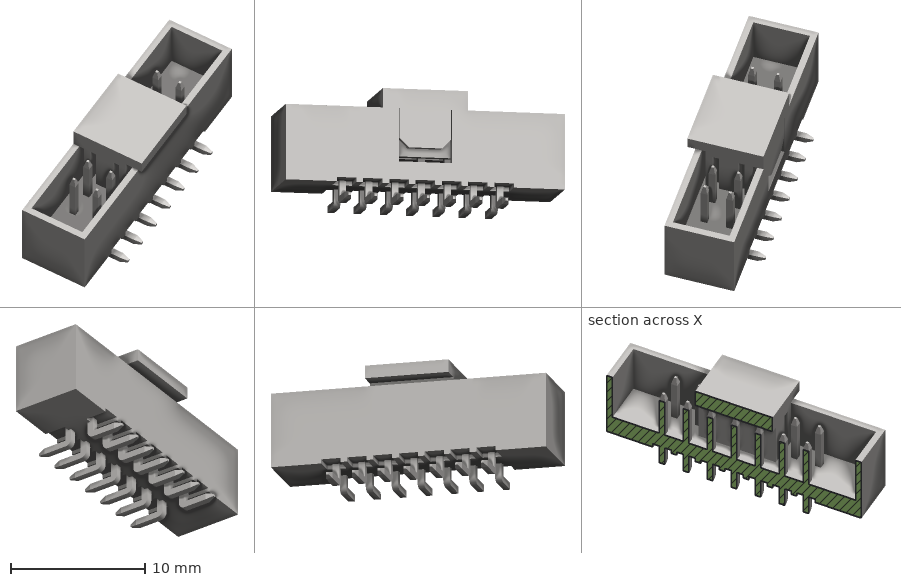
import cadquery as cq

LENGTH = 21.25
WIDTH = 5.45
HEIGHT = 5.72
WALL = 0.5
CAVITY_DEPTH = 4.04

PINS_PER_ROW = 7
PITCH = 2.0
PIN_SIZE = 0.5
PIN_TIP_SIZE = 0.2
PIN_TAPER = 0.6
PIN_TOP_GAP = 0.13
FOOT_SPAN = 7.5
FOOT_DROP = 1.35
BEND_RADIUS = 0.5

RELIEF_WIDTH = 1.49
RELIEF_HEIGHT = 0.32

CAP_LENGTH = 6.45
CAP_WIDTH = 5.95
CAP_HEIGHT = 1.47
FLANGE_THICKNESS = 0.98
PLUG_WIDTH = 3.61
PLUG_DEPTH = 3.5
WINDOW_WIDTH = 4.05
TONGUE_GAP = 0.06
TONGUE_DEPTH = 2.95
TONGUE_CHAMFER = 0.7

ROW_X = PITCH / 2
FLOOR_Z = HEIGHT - CAVITY_DEPTH
OUTER_X = WIDTH / 2
PIN_YS = [(i - (PINS_PER_ROW - 1) / 2) * PITCH for i in range(PINS_PER_ROW)]


def block(x_range, y_width, z_range):
    """Box between two X and two Z limits, centred on Y = 0."""
    x0, x1 = x_range
    z0, z1 = z_range
    box = cq.Workplane("XY").box(x1 - x0, y_width, z1 - z0, centered=(False, True, False))
    return box.translate((x0, 0, z0))


def make_housing():
    shell = block((-OUTER_X, OUTER_X), LENGTH, (0, HEIGHT))
    inner_x = OUTER_X - WALL
    cavity = block((-inner_x, inner_x), LENGTH - 2 * WALL, (FLOOR_Z, HEIGHT))
    window = block((-OUTER_X, -inner_x), WINDOW_WIDTH, (FLOOR_Z, HEIGHT))
    housing = shell.cut(cavity).cut(window)
    for y in PIN_YS:
        for x_range in ((-OUTER_X, -ROW_X), (ROW_X, OUTER_X)):
            relief = block(x_range, RELIEF_WIDTH, (0, RELIEF_HEIGHT))
            housing = housing.cut(relief.translate((0, y, 0)))
    return housing


def make_cap():
    """Cap flush with the -X wall, its flange overhanging the +X wall."""
    top_z = HEIGHT + CAP_HEIGHT
    half_plug = PLUG_WIDTH / 2
    flange = block((-OUTER_X, CAP_WIDTH - OUTER_X), CAP_LENGTH, (top_z - FLANGE_THICKNESS, top_z))
    neck = block((-OUTER_X, half_plug), CAP_LENGTH, (HEIGHT, top_z))
    plug = block((-half_plug, half_plug), CAP_LENGTH, (HEIGHT - PLUG_DEPTH, HEIGHT))
    for x in (-ROW_X, ROW_X):
        slot_range = (x - PIN_SIZE / 2, x + PIN_SIZE / 2)
        plug = plug.cut(block(slot_range, CAP_LENGTH, (HEIGHT - PLUG_DEPTH, HEIGHT)))
    tongue = block(
        (-OUTER_X, WALL - OUTER_X),
        WINDOW_WIDTH - 2 * TONGUE_GAP,
        (HEIGHT - TONGUE_DEPTH, HEIGHT),
    )
    tongue = tongue.edges("|X and <Z").chamfer(TONGUE_CHAMFER)
    return flange.union(neck).union(plug).union(tongue)


def make_pin():
    """Pin of the +X row at Y = 0: upright blade, bent foot and two tapered ends."""
    half = PIN_SIZE / 2
    foot_z = -FOOT_DROP
    blade_top = HEIGHT - PIN_TOP_GAP - PIN_TAPER
    foot_end = FOOT_SPAN / 2 - PIN_TAPER
    inner_x = ROW_X - half
    body = (
        cq.Workplane("XZ")
        .moveTo(inner_x, blade_top)
        .lineTo(ROW_X + half, blade_top)
        .lineTo(ROW_X + half, foot_z + PIN_SIZE)
        .lineTo(foot_end, foot_z + PIN_SIZE)
        .lineTo(foot_end, foot_z)
        .lineTo(inner_x + BEND_RADIUS, foot_z)
        .radiusArc((inner_x, foot_z + BEND_RADIUS), BEND_RADIUS)
        .close()
        .extrude(half, both=True)
    )
    top_tip = make_tip().translate((ROW_X, 0, blade_top))
    foot_tip = make_tip().rotate((0, 0, 0), (0, 1, 0), 90)
    foot_tip = foot_tip.translate((foot_end, 0, foot_z + half))
    return body.union(top_tip).union(foot_tip)


def make_tip():
    """Square frustum rising along +Z."""
    return (
        cq.Workplane("XY")
        .rect(PIN_SIZE, PIN_SIZE)
        .workplane(offset=PIN_TAPER)
        .rect(PIN_TIP_SIZE, PIN_TIP_SIZE)
        .loft(ruled=True)
    )


result = make_housing().union(make_cap())
pin = make_pin()
mirrored_pin = pin.mirror("YZ")
for y in PIN_YS:
    result = result.union(pin.translate((0, y, 0)))
    result = result.union(mirrored_pin.translate((0, y, 0)))